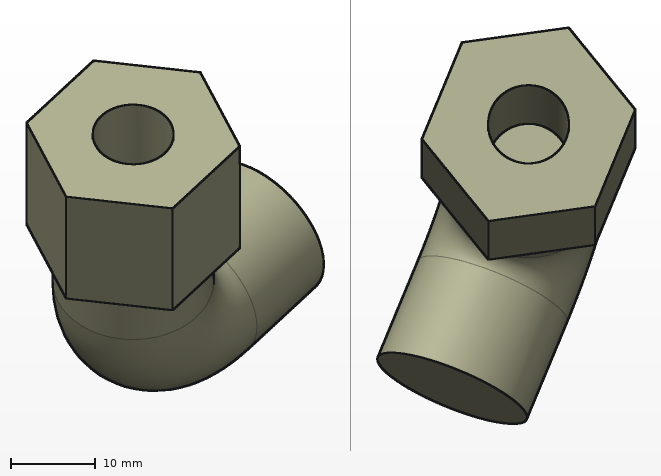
import cadquery as cq

overall_height = 46.35

tube_diameter = 19.05
bend_radius = 11.45
outlet_length = 12.7

nut_across_flats = 22.0
nut_height = 17.75
nut_bore_diameter = 9.55

neck_top = overall_height - nut_height - tube_diameter / 2
outlet_end = bend_radius + outlet_length


def make_elbow():
    """Outlet, quarter bend and vertical neck swept as one solid."""
    center_line = (
        cq.Workplane("YZ")
        .moveTo(outlet_end, 0)
        .lineTo(bend_radius, 0)
        .radiusArc((0, bend_radius), bend_radius)
        .lineTo(0, neck_top)
    )
    return (
        cq.Workplane("XZ", origin=(0, outlet_end, 0))
        .circle(tube_diameter / 2)
        .sweep(center_line)
    )


def make_nut():
    """Hexagonal nut with a bore through to the end face of the neck."""
    return (
        cq.Workplane("XY", origin=(0, 0, neck_top))
        .polygon(6, nut_across_flats, circumscribed=True)
        .circle(nut_bore_diameter / 2)
        .extrude(nut_height)
    )


elbow = make_elbow()
nut = make_nut()

result = cq.Compound.makeCompound([elbow.val(), nut.val()])